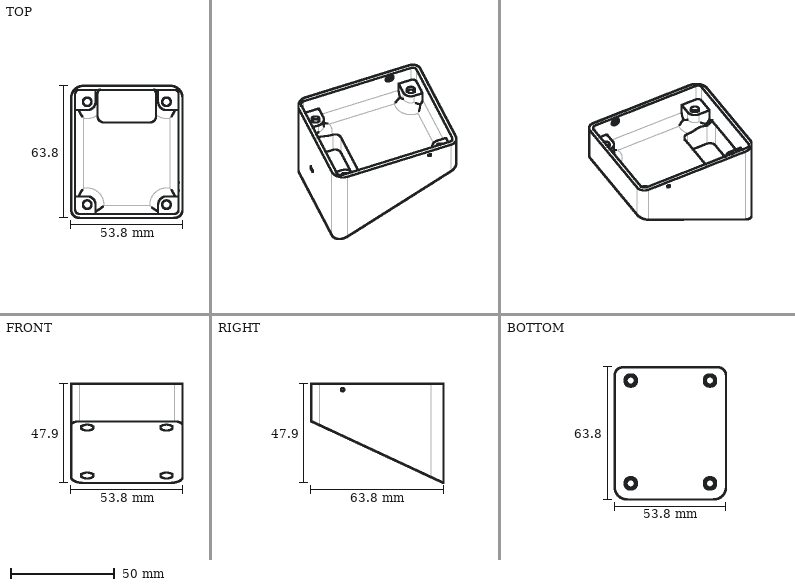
import cadquery as cq
import math

width = 53.75
length = 63.75
slope_angle = 25.0
front_height = 18.2
back_height = front_height + length * math.tan(math.radians(slope_angle))
front_corner_radius = 4.0
back_corner_radius = 6.0

wall = 2.0
cavity_depth = 18.0
cavity_corner_radius = 2.0
floor_fillet = 4.0

side_inset = 7.8
front_inset = 6.45
back_inset = 7.8
boss_radius = 4.0
boss_top_depth = 9.0
screw_diameter = 4.0
counterbore_diameter = 6.0
screw_land = 2.15
screw_seat_depth = boss_top_depth + screw_land

pocket_width = 28.2
pocket_front = 46.0
pocket_back_wall = 1.0
pocket_depth = 29.45
pocket_corner_radius = 3.0

cable_slot_width = 2.75
cable_slot_height = 1.35
cable_slot_x = 31.75
cable_slot_depth = 27.15
side_hole_diameter = 1.4
side_bore_diameter = 4.0
side_bore_depth = 1.0
side_hole_y = 15.2
side_hole_depth = 2.95


def block(x_min, x_max, y_min, y_max, z_min, z_max):
    size = (x_max - x_min, y_max - y_min, z_max - z_min)
    return cq.Workplane("XY").box(*size, centered=False).translate((x_min, y_min, z_min))


def vertical_cylinder(x, y, diameter, z_min, z_max):
    base = cq.Workplane("XY", origin=(x, y, z_min))
    return base.circle(diameter / 2).extrude(z_max - z_min)


def make_body():
    """Rounded block with its underside sloping down towards the back."""
    profile = [(0, 0), (length, 0), (length, -back_height), (0, -front_height)]
    sloped = cq.Workplane("YZ").polyline(profile).close().extrude(width)
    rounded = block(0, width, 0, length, -back_height, 0)
    rounded = rounded.edges("|Z and <Y").fillet(front_corner_radius)
    rounded = rounded.edges("|Z and >Y").fillet(back_corner_radius)
    return sloped.intersect(rounded)


def make_boss(x_side, y_side):
    """Square corner boss, rounded about its screw, with a round flare onto the floor."""
    screw_x = side_inset if x_side < 0 else width - side_inset
    screw_y = front_inset if y_side < 0 else length - back_inset
    corner_x = 0 if x_side < 0 else width
    corner_y = 0 if y_side < 0 else length
    inner_x = screw_x - x_side * boss_radius
    inner_y = screw_y - y_side * boss_radius

    outline = (
        cq.Workplane("XY", origin=(0, 0, -cavity_depth))
        .polyline([(corner_x, corner_y), (inner_x, corner_y), (inner_x, inner_y), (corner_x, inner_y)])
        .close()
    )
    boss = outline.extrude(cavity_depth - boss_top_depth)
    rounded_edge = ("<X" if x_side > 0 else ">X", "<Y" if y_side > 0 else ">Y")
    boss = boss.edges("|Z and " + " and ".join(rounded_edge)).fillet(boss_radius)

    arc_dip = floor_fillet * (1 - math.sqrt(0.5))
    flare = (
        cq.Workplane("XZ", origin=(screw_x, screw_y, -cavity_depth))
        .lineTo(boss_radius + floor_fillet, 0)
        .threePointArc((boss_radius + arc_dip, arc_dip), (boss_radius, floor_fillet))
        .lineTo(0, floor_fillet)
        .close()
        .revolve(360, (0, 0, 0), (0, 1, 0))
    )
    return boss.union(flare)


def make_cavity():
    """Main cavity with a rounded floor edge, leaving the corner bosses standing."""
    cavity = block(wall, width - wall, wall, length - wall, -cavity_depth, 0)
    cavity = cavity.edges("|Z").fillet(cavity_corner_radius)
    cavity = cavity.faces("<Z").edges().fillet(floor_fillet)
    for x_side in (-1, 1):
        for y_side in (-1, 1):
            cavity = cavity.cut(make_boss(x_side, y_side))
    return cavity


def make_pocket():
    """Deep rounded pocket below the back of the main cavity."""
    x_min = (width - pocket_width) / 2
    roof = -cavity_depth + floor_fillet
    pocket = block(x_min, x_min + pocket_width, pocket_front, length - pocket_back_wall, -pocket_depth, roof)
    return pocket.edges("|Z").fillet(pocket_corner_radius)


def cut_screw_holes(body):
    for x in (side_inset, width - side_inset):
        for y in (front_inset, length - back_inset):
            body = body.cut(vertical_cylinder(x, y, screw_diameter, -back_height, 0))
            body = body.cut(vertical_cylinder(x, y, counterbore_diameter, -back_height, -screw_seat_depth))
    return body


def cut_side_holes(body):
    """Small hole through both side walls, bored wider from the inside."""
    axis = cq.Workplane("YZ").center(side_hole_y, -side_hole_depth)
    through = axis.circle(side_hole_diameter / 2).extrude(width)
    skin = wall - side_bore_depth
    bore = axis.workplane(offset=skin).circle(side_bore_diameter / 2).extrude(width - 2 * skin)
    return body.cut(through).cut(bore)


def make_cable_slot():
    """Rectangular opening from the pocket through the back wall."""
    start = cq.Workplane("XZ", origin=(cable_slot_x, length, -cable_slot_depth))
    return start.rect(cable_slot_width, cable_slot_height).extrude(2 * pocket_back_wall)


result = make_body().cut(make_cavity()).cut(make_pocket())
result = cut_screw_holes(result)
result = cut_side_holes(result)
result = result.cut(make_cable_slot())